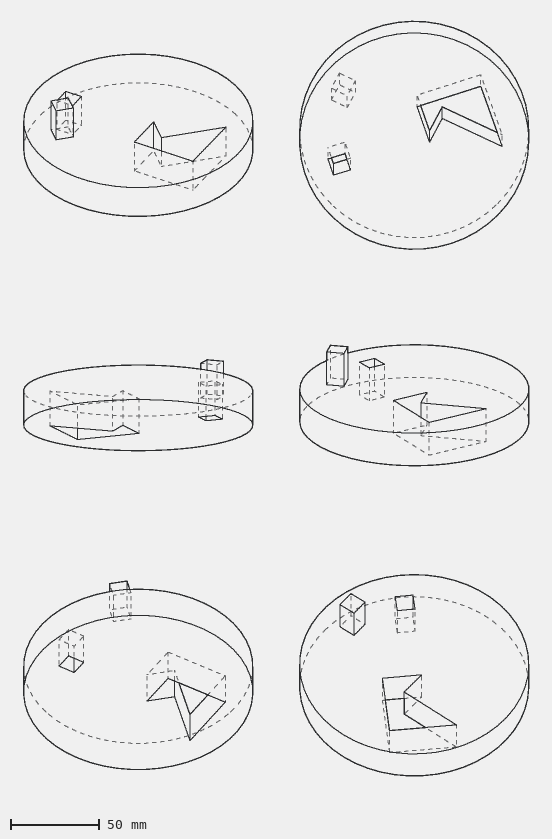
import cadquery as cq

disc_diameter = 129.0
disc_height = 20.0

post_side = 10.0
post_height = 20.0
post_center = (-0.5, -44.5)

square_hole_side = 10.0
square_hole_angle = 45.0
square_hole_center = (-31.6, -31.2)

opening_corners = [
    (19.7, 45.5),
    (46.0, 18.5),
    (19.0, -7.9),
    (3.4, 8.0),
    (19.2, 7.9),
]


def square_prism(side, center, height):
    """Upright square prism with its base on the XY plane."""
    return cq.Workplane("XY").center(*center).rect(side, side).extrude(height)


def make_square_hole():
    """Cutter for the small hole, turned about its own vertical axis."""
    x, y = square_hole_center
    cutter = square_prism(square_hole_side, square_hole_center, disc_height)
    return cutter.rotate((x, y, 0), (x, y, 1), square_hole_angle)


disc = cq.Workplane("XY").circle(disc_diameter / 2).extrude(disc_height)
opening = cq.Workplane("XY").polyline(opening_corners).close().extrude(disc_height)

post = square_prism(post_side, post_center, disc_height + post_height)

result = disc.union(post).cut(opening).cut(make_square_hole())